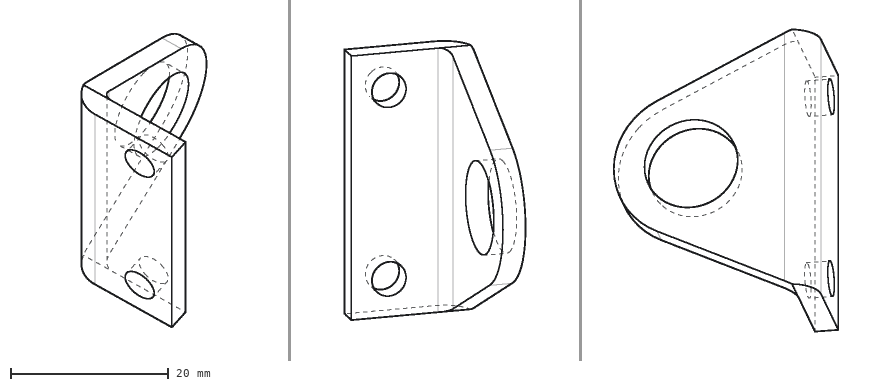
import cadquery as cq
import math

height = 35.0
base_width = 16.0
thickness = 3.0
outer_bend_radius = 4.0
inner_bend_radius = 1.5

bore_diameter = 12.0
bore_y = 16.0
lug_radius = 9.98
depth = bore_y + lug_radius

mount_diameter = 4.5
mount_x = 11.0
mount_spacing = 25.0

half_height = height / 2


def bent_plate():
    """L-shaped sheet, constant along Z, with a rounded bend at the origin corner."""
    plate = (
        cq.Workplane("XY")
        .polyline([
            (0, 0),
            (base_width, 0),
            (base_width, thickness),
            (thickness, thickness),
            (thickness, depth),
            (0, depth),
        ])
        .close()
        .extrude(half_height, both=True)
    )
    plate = plate.edges(cq.selectors.NearestToPointSelector((0, 0, 0))).fillet(outer_bend_radius)
    inner_corner = cq.selectors.NearestToPointSelector((thickness, thickness, 0))
    return plate.edges(inner_corner).fillet(inner_bend_radius)


def side_outline():
    """Side silhouette: straight base, then sloped edges tangent to the lug arc."""
    run = bore_y - thickness
    corner_angle = math.atan2(half_height, -run)
    tangent_offset = math.acos(lug_radius / math.hypot(run, half_height))
    tangent_angle = corner_angle - tangent_offset
    tangent_y = bore_y + lug_radius * math.cos(tangent_angle)
    tangent_z = lug_radius * math.sin(tangent_angle)
    return (
        cq.Workplane("YZ")
        .moveTo(0, -half_height)
        .lineTo(thickness, -half_height)
        .lineTo(tangent_y, -tangent_z)
        .threePointArc((depth, 0), (tangent_y, tangent_z))
        .lineTo(thickness, half_height)
        .lineTo(0, half_height)
        .close()
        .extrude(base_width)
    )


def lug_bore():
    """Large bore through the lug, along X."""
    return cq.Workplane("YZ").center(bore_y, 0).circle(bore_diameter / 2).extrude(thickness)


def mounting_holes():
    """Two holes through the base flange, along Y."""
    return (
        cq.Workplane("XZ")
        .pushPoints([(mount_x, side * mount_spacing / 2) for side in (-1, 1)])
        .circle(mount_diameter / 2)
        .extrude(-thickness)
    )


result = bent_plate().intersect(side_outline()).cut(lug_bore()).cut(mounting_holes())